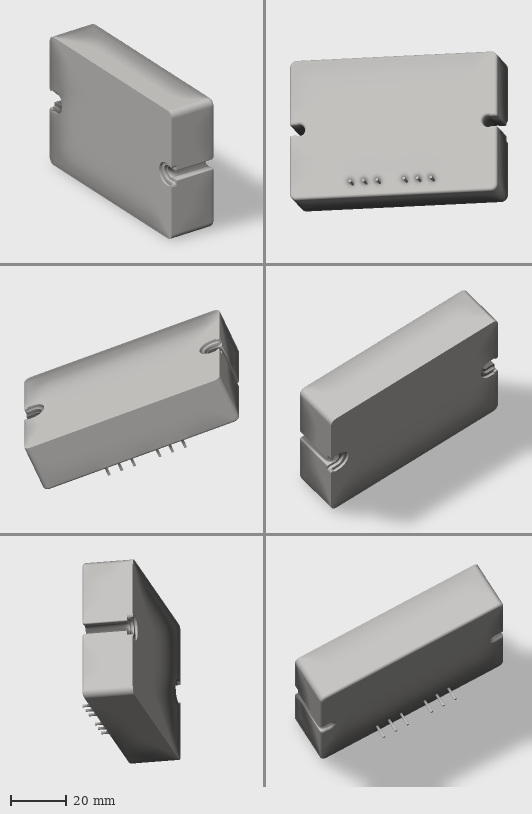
import cadquery as cq

length = 77.0
height = 52.0
overall_depth = 24.1
body_depth = 18.95
corner_radius = 2.5
back_edge_radius = 1.0

slot_width = 3.7
slot_mouth_radius = 0.5
screw_hole_diameter = 4.15
screw_center_inset = 3.5

pocket_radius = 3.0
pocket_depth = 2.15
step_radius = 4.5
step_depth = 1.0
pocket_mouth_radius = step_radius - pocket_radius

pin_diameter = 1.0
pin_pitch = 5.0
pin_positions = (-3, -2, -1, 1, 2, 3)
pin_height_above_bottom = 4.85
pin_length = overall_depth - body_depth


def make_body():
    """Box with rounded corners."""
    block = cq.Workplane("XY").box(length, body_depth, height, centered=(True, False, True))
    return block.edges("|Y").fillet(corner_radius)


def extrude_back(sketch, depth):
    """Extrude an XZ sketch from the front face toward +Y."""
    return sketch.extrude(-depth)


def flared_channel(half_width, mouth_radius, depth):
    """Channel from the left end to the screw center, its mouth rounded outward."""
    left = -length / 2
    mouth_half_width = half_width + mouth_radius
    screw_x = left + screw_center_inset
    outline = (
        cq.Workplane("XZ")
        .moveTo(left, -mouth_half_width)
        .radiusArc((left + mouth_radius, -half_width), mouth_radius)
        .lineTo(screw_x, -half_width)
        .lineTo(screw_x, half_width)
        .lineTo(left + mouth_radius, half_width)
        .radiusArc((left, mouth_half_width), mouth_radius)
        .close()
    )
    return extrude_back(outline, depth)


def round_end(radius, depth):
    """Cylinder around the screw center of the left slot."""
    circle = cq.Workplane("XZ").center(-length / 2 + screw_center_inset, 0).circle(radius)
    return extrude_back(circle, depth)


def make_step():
    """Shallow U-shaped step that stops short of the end face."""
    step_start = -length / 2 + pocket_mouth_radius
    straight_length = screw_center_inset - pocket_mouth_radius
    straight = cq.Workplane("XZ").center(step_start + straight_length / 2, 0)
    straight = extrude_back(straight.rect(straight_length, 2 * step_radius), step_depth)
    return straight.union(round_end(step_radius, step_depth))


def make_slot_cutter():
    """Through slot, deep pocket and shallow step at the left end."""
    slot = flared_channel(slot_width / 2, slot_mouth_radius, body_depth)
    slot = slot.union(round_end(screw_hole_diameter / 2, body_depth))
    pocket = flared_channel(pocket_radius, pocket_mouth_radius, pocket_depth)
    pocket = pocket.union(round_end(pocket_radius, pocket_depth))
    return slot.union(pocket).union(make_step())


def make_pins():
    """Round pins standing on the back face."""
    pin_z = -height / 2 + pin_height_above_bottom
    pin_centers = [(position * pin_pitch, pin_z) for position in pin_positions]
    back_face = cq.Workplane("XZ", origin=(0, body_depth, 0))
    return extrude_back(back_face.pushPoints(pin_centers).circle(pin_diameter / 2), pin_length)


left_cutter = make_slot_cutter()
right_cutter = left_cutter.mirror("YZ")
body = make_body().cut(left_cutter).cut(right_cutter)
body = body.faces(">Y").edges().fillet(back_edge_radius)
result = body.union(make_pins())